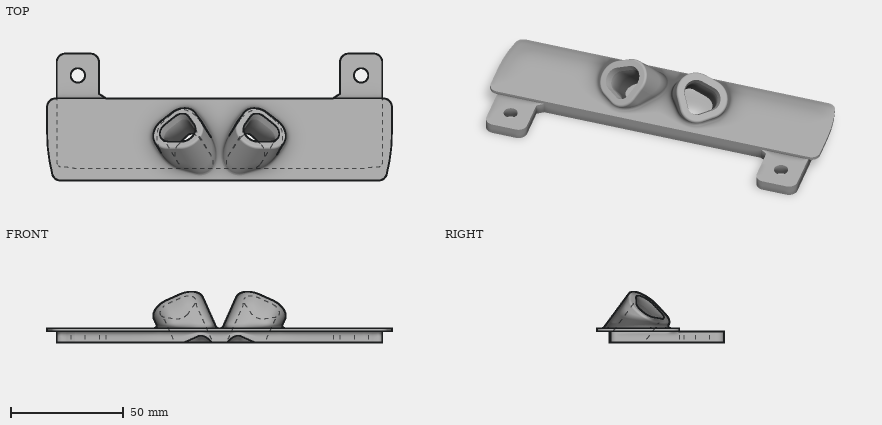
import cadquery as cq
import math

PLATE_LENGTH = 154.0
PLATE_DEPTH = 36.8
PLATE_THICKNESS = 1.5
PLATE_CORNER_RADIUS = 4.0
SIDE_CURVE_START = 21.6
SIDE_CURVE_RADIUS = 75.0

BASE_THICKNESS = 5.0
BASE_LENGTH = 145.4
BASE_FRONT = 5.6
BASE_END_FRONT = 6.2
BASE_FRONT_CORNER_RADIUS = 2.35
STEP_INNER_X = 64.4
STEP_OUTER_X = 68.2
TAB_WIDTH = 19.0
TAB_BACK = 56.8
TAB_CORNER_RADIUS = 4.0
GUSSET_WIDTH = 3.0
GUSSET_DEPTH = 2.0
HOLE_DIAMETER = 6.3
HOLE_TO_TAB_END = 9.8

SOCKET_LEAN_SIDE = 24.0
SOCKET_LEAN_BACK = 34.0
SOCKET_RIM_CENTER = (-18.3, 23.4, 15.3)
SOCKET_LENGTH = 40.0
FLAT_WIDTH = 6.0
CORNER_RADIUS = 9.0
BACK_CORNER_RADIUS = 7.6
SOCKET_FRONT = 10.6
SOCKET_BACK = 11.4
BORE_WALL = 4.2
MOUTH_DEPTH = 3.5
MOUTH_FLARE = 12.0
RIM_FILLET = 1.0
FOOT_FILLET = 1.0

PLATE_TOP = BASE_THICKNESS + PLATE_THICKNESS


def make_plate():
    """Thin plate whose ends curve inwards towards the front."""
    half = PLATE_LENGTH / 2
    arc_angle = math.asin(SIDE_CURVE_START / SIDE_CURVE_RADIUS)

    def inset(angle):
        return half - SIDE_CURVE_RADIUS * (1 - math.cos(angle))

    front_x = inset(arc_angle)
    middle_x = inset(arc_angle / 2)
    middle_y = SIDE_CURVE_START - SIDE_CURVE_RADIUS * math.sin(arc_angle / 2)
    outline = (
        cq.Workplane("XY", origin=(0, 0, BASE_THICKNESS))
        .moveTo(-front_x, 0)
        .lineTo(front_x, 0)
        .threePointArc((middle_x, middle_y), (half, SIDE_CURVE_START))
        .lineTo(half, PLATE_DEPTH)
        .lineTo(-half, PLATE_DEPTH)
        .lineTo(-half, SIDE_CURVE_START)
        .threePointArc((-middle_x, middle_y), (-front_x, 0))
        .close()
    )
    plate = outline.extrude(PLATE_THICKNESS)
    return plate.edges("|Z and (<Y or >Y)").fillet(PLATE_CORNER_RADIUS)


def make_base():
    """Bar under the plate with a drilled tab reaching back at each end."""
    half = BASE_LENGTH / 2
    tab_inner = half - TAB_WIDTH
    right_side = [
        (STEP_INNER_X, BASE_FRONT),
        (STEP_OUTER_X, BASE_END_FRONT),
        (half, BASE_END_FRONT),
        (half, TAB_BACK),
        (tab_inner, TAB_BACK),
        (tab_inner, PLATE_DEPTH + GUSSET_DEPTH),
        (tab_inner - GUSSET_WIDTH, PLATE_DEPTH),
    ]
    left_side = [(-x, y) for x, y in reversed(right_side)]
    base = cq.Workplane("XY").polyline(right_side + left_side).close().extrude(BASE_THICKNESS)
    base = base.edges("|Z and >Y").fillet(TAB_CORNER_RADIUS)
    base = base.edges("|Z and (<X or >X)").edges("<Y").fillet(BASE_FRONT_CORNER_RADIUS)
    hole_x = half - TAB_WIDTH / 2
    hole_y = TAB_BACK - HOLE_TO_TAB_END
    holes = (
        cq.Workplane("XY")
        .pushPoints([(-hole_x, hole_y), (hole_x, hole_y)])
        .circle(HOLE_DIAMETER / 2)
        .extrude(BASE_THICKNESS)
    )
    return base.cut(holes)


def socket_plane():
    """Plane of the left socket's rim, its normal pointing out of the mouth."""
    side = math.radians(SOCKET_LEAN_SIDE)
    back = math.radians(SOCKET_LEAN_BACK)
    normal = (-math.sin(side) * math.cos(back), math.sin(back), math.cos(side) * math.cos(back))
    across = (math.cos(side), 0, math.sin(side))
    return cq.Plane(origin=SOCKET_RIM_CENTER, xDir=across, normal=normal)


def rounded_triangle(workplane, offset=0.0):
    """Socket outline grown by an offset: a flat at the front, two wide corners, a tighter back corner."""
    wide_radius = CORNER_RADIUS + offset
    back_radius = BACK_CORNER_RADIUS + offset
    wide_x = FLAT_WIDTH / 2
    wide_y = CORNER_RADIUS - SOCKET_FRONT
    back_y = SOCKET_BACK - BACK_CORNER_RADIUS
    center_distance = math.hypot(wide_x, back_y - wide_y)
    center_direction = math.atan2(back_y - wide_y, -wide_x)
    flat_normal = center_direction - math.acos((CORNER_RADIUS - BACK_CORNER_RADIUS) / center_distance)

    def wide_point(angle):
        return wide_x + wide_radius * math.cos(angle), wide_y + wide_radius * math.sin(angle)

    def mirrored(point):
        return -point[0], point[1]

    front = wide_point(-math.pi / 2)
    bulge = wide_point((flat_normal - math.pi / 2) / 2)
    flat_start = wide_point(flat_normal)
    flat_end = (back_radius * math.cos(flat_normal), back_y + back_radius * math.sin(flat_normal))
    back = (0, back_y + back_radius)
    return (
        workplane.moveTo(*mirrored(front))
        .lineTo(*front)
        .threePointArc(bulge, flat_start)
        .lineTo(*flat_end)
        .threePointArc(back, mirrored(flat_end))
        .lineTo(*mirrored(flat_start))
        .threePointArc(mirrored(bulge), mirrored(front))
        .close()
    )


def make_socket_body():
    """Solid left socket standing on the plate, its rim rounded."""
    body = rounded_triangle(cq.Workplane(socket_plane())).extrude(-SOCKET_LENGTH)
    rim = body.faces(cq.selectors.NearestToPointSelector(SOCKET_RIM_CENTER))
    body = rim.edges().fillet(RIM_FILLET)
    below_plate = (
        cq.Workplane("XY", origin=(0, 0, BASE_THICKNESS))
        .rect(2 * PLATE_LENGTH, 2 * PLATE_LENGTH)
        .extrude(-SOCKET_LENGTH)
    )
    return body.cut(below_plate)


def make_bore():
    """Left socket's bore: a straight part and a mouth that flares to the rim."""
    seat = cq.Workplane(socket_plane()).workplane(offset=-MOUTH_DEPTH)
    straight = rounded_triangle(seat, -BORE_WALL).extrude(-SOCKET_LENGTH)
    mouth = rounded_triangle(seat, -BORE_WALL).extrude(MOUTH_DEPTH, taper=-MOUTH_FLARE)
    return straight.union(mouth)


def both_sides(left):
    """The left-hand shape together with its mirror image."""
    return left.union(left.mirror("YZ"))


def round_socket_feet(cover):
    """Fillet where the sockets meet the plate; the plate's own outline stays sharp."""
    edge_margin = 1.0
    height_margin = 0.1
    side_limit = PLATE_LENGTH / 3
    foot_zone = cq.selectors.BoxSelector(
        (-side_limit, edge_margin, PLATE_TOP - height_margin),
        (side_limit, PLATE_DEPTH - edge_margin, PLATE_TOP + height_margin),
    )
    return cover.edges(foot_zone).fillet(FOOT_FILLET)


cover = make_plate().union(both_sides(make_socket_body()))
cover = round_socket_feet(cover)
result = cover.union(make_base()).cut(both_sides(make_bore()))